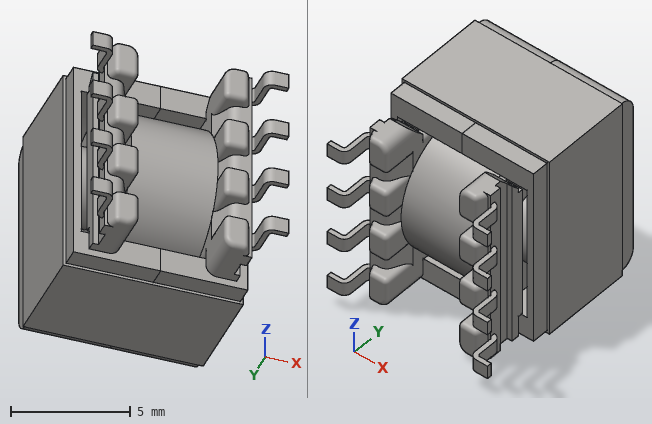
import cadquery as cq
import math


core_width = 7.83
core_height = 9.51
core_back = 4.71
core_front = -1.8
core_corner_radius = 0.8
cavity_radius = 3.61
cavity_width = 7.12
post_radius = 1.71

tape_thickness = 0.13
tape_back = 3.84
tape_front = -0.92

winding_width = 3.87
winding_radius = 3.48

barrel_radius = 2.02
cheek_inner = winding_width / 2
cheek_thickness = 0.45
cheek_radius = 3.52
cheek_edge_radius = 0.23

block_outer = 3.31
neck_back = core_front
block_back = -2.05
block_front = -3.88
block_half_height = 4.62
block_corner_radius = 0.5
block_chamfer = 0.88

groove_depth = 0.26
groove_back = -2.48
groove_front = -3.25

channel_angle = 25
channel_back = -2.71
channel_radius = 0.5

boss_front = -4.41
boss_height = 1.44
boss_outer = 2.94
boss_slope = 25
boss_base = -3.73
boss_root = -2.52
boss_radius = 0.23
end_boss_inner_z = 3.02

pin_pitch = 2.49
pins_per_side = 4
pin_width = 0.71
pin_thickness = 0.25
pin_back = -3.62
pin_leg_outer = 3.65
pin_tip = 4.4
pin_seat = -5.38
pin_inner_radius = 0.13
pin_outer_radius = pin_inner_radius + pin_thickness
pin_root = 3.13


def box_between(x_range, y_range, z_range):
    """A box given by its lower and upper limits along each axis."""
    (x0, x1), (y0, y1), (z0, z1) = x_range, y_range, z_range
    return cq.Workplane("XY").box(x1 - x0, y1 - y0, z1 - z0, centered=False).translate((x0, y0, z0))


def x_cylinder(radius, x_start, x_end):
    """A cylinder about the X axis."""
    return cq.Workplane("YZ").workplane(offset=x_start).circle(radius).extrude(x_end - x_start)


def u_shape(radius, y_open, x_start, x_end):
    """A half-round about the X axis, carried straight on to y_open."""
    return (
        cq.Workplane("YZ")
        .workplane(offset=x_start)
        .moveTo(y_open, -radius)
        .lineTo(0, -radius)
        .threePointArc((radius, 0), (0, radius))
        .lineTo(y_open, radius)
        .close()
        .extrude(x_end - x_start)
    )


def mirrored(half):
    return half.mirror("YZ")


def make_core_half():
    """The +X half: a cup with a round cavity, open to the front, and a centre post."""
    half_width = core_width / 2
    shell = box_between(
        (0, half_width), (core_front, core_back), (-core_height / 2, core_height / 2)
    )
    shell = shell.edges("|X and >Y").fillet(core_corner_radius)
    cavity = u_shape(cavity_radius, core_front, 0, cavity_width / 2)
    post = x_cylinder(post_radius, 0, half_width)
    return shell.cut(cavity).union(post)


def make_tape():
    """A closed band around the outside of both core halves."""
    return (
        cq.Workplane("XZ", origin=(0, tape_back, 0))
        .rect(core_width + 2 * tape_thickness, core_height + 2 * tape_thickness)
        .rect(core_width, core_height)
        .extrude(tape_back - tape_front)
    )


def make_winding():
    half_width = winding_width / 2
    coil = x_cylinder(winding_radius, -half_width, half_width)
    return coil.cut(x_cylinder(barrel_radius, -half_width, half_width))


def make_cheek():
    """The +X bobbin cheek, rounded on the winding side, and its thick neck to the block."""
    cheek_outer = cheek_inner + cheek_thickness
    cheek = u_shape(cheek_radius, block_back, cheek_inner, cheek_outer)
    neck = box_between(
        (cheek_inner, block_outer), (block_back, neck_back), (-cheek_radius, cheek_radius)
    )
    cheek = cheek.union(neck)
    return cheek.faces("<X").edges("not <Y").fillet(cheek_edge_radius)


def make_block():
    """The +X terminal block, with a groove along its outer side."""
    block = box_between(
        (cheek_inner, block_outer),
        (block_front, block_back),
        (-block_half_height, block_half_height),
    )
    block = block.edges("|Y and <X").fillet(block_corner_radius)
    groove = box_between(
        (block_outer - groove_depth, block_outer),
        (groove_front, groove_back),
        (-block_half_height, block_half_height),
    )
    return block.cut(groove)


def make_channel():
    """The ramp cut from the inner side of the block to its front, with a rounded lip."""
    slope = math.radians(channel_angle)
    corner_x = cheek_inner + (channel_back - block_front) * math.tan(slope)
    tangent_length = channel_radius * math.tan((math.pi / 2 - slope) / 2)
    ramp_end = (
        corner_x - tangent_length * math.sin(slope),
        block_front + tangent_length * math.cos(slope),
    )
    half_length = pin_pitch * (pins_per_side - 1) / 2
    return (
        cq.Workplane("XY")
        .workplane(offset=-half_length)
        .moveTo(cheek_inner, channel_back)
        .lineTo(*ramp_end)
        .tangentArcPoint((corner_x + tangent_length, block_front), relative=False)
        .lineTo(cheek_inner, block_front)
        .close()
        .extrude(2 * half_length)
    )


def make_boss(z_low, z_high, low_radius, high_radius):
    """A rounded boss. The two radii are those of its inner edges along Y."""
    base_x = boss_outer + (boss_base - boss_front) * math.tan(math.radians(boss_slope))
    boss = (
        cq.Workplane("XY")
        .workplane(offset=z_low)
        .polyline([
            (cheek_inner, boss_root),
            (cheek_inner, boss_front),
            (boss_outer, boss_front),
            (base_x, boss_base),
        ])
        .close()
        .extrude(z_high - z_low)
    )
    boss = boss.edges("|Y and <Z").fillet(low_radius)
    boss = boss.edges("|Y and >Z").fillet(high_radius)
    front_edges = boss.faces("<Y").edges()
    sloping_edges = boss.faces(">X").edges("not |Z")
    return front_edges.add(sloping_edges).fillet(boss_radius)


def make_bosses():
    """The four bosses of one block, from the lowest to the highest."""
    bosses = [make_boss(-block_half_height, -end_boss_inner_z, block_corner_radius, boss_radius)]
    for z in (-pin_pitch / 2, pin_pitch / 2):
        bosses.append(make_boss(z - boss_height / 2, z + boss_height / 2, boss_radius, boss_radius))
    bosses.append(make_boss(end_boss_inner_z, block_half_height, boss_radius, block_corner_radius))
    return bosses


def make_pin(z):
    """A flat pin bent twice: out of the block, down the leg and out along the foot."""
    leg_inner = pin_leg_outer - pin_thickness
    foot_top = pin_seat + pin_thickness
    r_in = pin_inner_radius
    r_out = pin_outer_radius
    return (
        cq.Workplane("XY")
        .workplane(offset=z - pin_width / 2)
        .moveTo(pin_root, pin_back)
        .lineTo(pin_leg_outer - r_out, pin_back)
        .tangentArcPoint((r_out, -r_out))
        .lineTo(pin_leg_outer, foot_top + r_in)
        .tangentArcPoint((r_in, -r_in))
        .lineTo(pin_tip, foot_top)
        .lineTo(pin_tip, pin_seat)
        .lineTo(leg_inner + r_out, pin_seat)
        .tangentArcPoint((-r_out, r_out))
        .lineTo(leg_inner, pin_back - pin_thickness - r_in)
        .tangentArcPoint((-r_in, r_in))
        .lineTo(pin_root, pin_back - pin_thickness)
        .close()
        .extrude(pin_width)
    )


def make_chamfer_cutter():
    """The wedge that bevels the upper back edge of the block."""
    return (
        cq.Workplane("YZ")
        .moveTo(block_back, block_half_height)
        .lineTo(block_back - block_chamfer, block_half_height)
        .lineTo(block_back, block_half_height - block_chamfer)
        .close()
        .extrude(block_outer)
    )


def make_bobbin():
    """Barrel, cheeks, terminal blocks and moulded-in pins as one solid."""
    side = make_block().cut(make_channel())
    for boss in make_bosses():
        side = side.union(boss)
    side = side.cut(make_chamfer_cutter()).union(make_cheek())
    for i in range(pins_per_side):
        side = side.union(make_pin((i - (pins_per_side - 1) / 2) * pin_pitch))
    barrel = x_cylinder(barrel_radius, -cheek_inner, cheek_inner)
    bore = x_cylinder(post_radius, -block_outer, block_outer)
    return barrel.union(side).union(mirrored(side)).cut(bore)


core_right = make_core_half()
core_left = mirrored(core_right)
tape = make_tape()
winding = make_winding()
bobbin = make_bobbin()

result = cq.Compound.makeCompound([
    core_right.val(),
    core_left.val(),
    tape.val(),
    winding.val(),
    bobbin.val(),
])